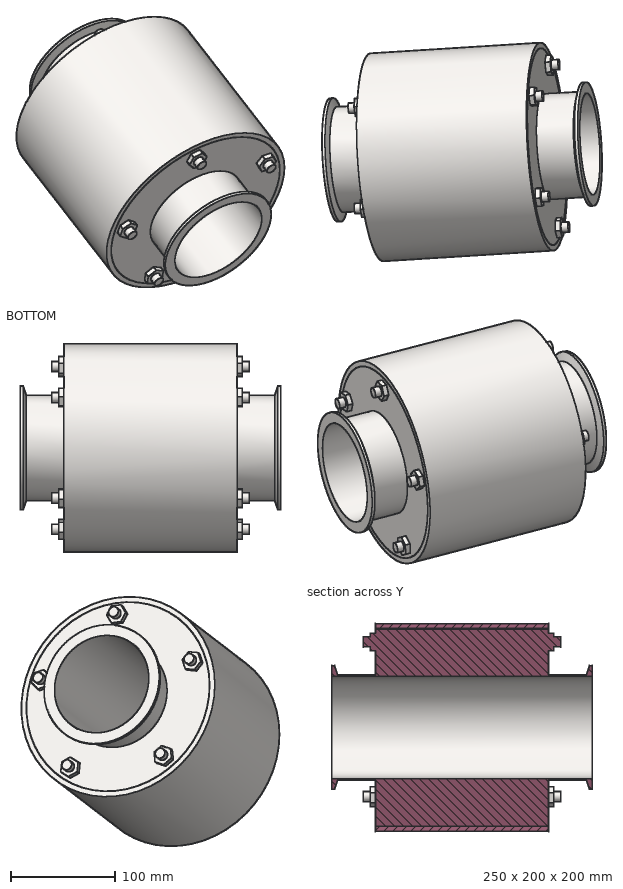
import cadquery as cq
import math

total_length = 250.0
jacket_length = 166.0
jacket_diameter = 200.0
jacket_bore = 189.5

drum_diameter = 189.0
pipe_diameter = 101.5
pipe_bore = 97.5

ferrule_diameter = 119.0
ferrule_rim_width = 3.0
ferrule_cone_width = 3.0

stud_count = 5
stud_circle_radius = 82.0
stud_diameter = 10.0
stud_projection = 11.8
nut_across_flats = 17.0
nut_across_corners = nut_across_flats / math.cos(math.pi / 6)
nut_thickness = 5.0


def make_jacket():
    """Plain tube around the drum, centred on the origin along X."""
    return (
        cq.Workplane("YZ", origin=(-jacket_length / 2, 0, 0))
        .circle(jacket_diameter / 2)
        .circle(jacket_bore / 2)
        .extrude(jacket_length)
    )


def make_drum_and_pipe():
    """Turned shape: drum, pipe ends and conical clamp ferrules, bored through."""
    end_x = total_length / 2
    rim_x = end_x - ferrule_rim_width
    cone_x = rim_x - ferrule_cone_width
    face_x = jacket_length / 2
    right_half = (
        cq.Workplane("XY")
        .moveTo(0, pipe_bore / 2)
        .lineTo(end_x, pipe_bore / 2)
        .lineTo(end_x, ferrule_diameter / 2)
        .lineTo(rim_x, ferrule_diameter / 2)
        .lineTo(cone_x, pipe_diameter / 2)
        .lineTo(face_x, pipe_diameter / 2)
        .lineTo(face_x, drum_diameter / 2)
        .lineTo(0, drum_diameter / 2)
        .close()
        .revolve(360, (0, 0, 0), (1, 0, 0))
    )
    return right_half.union(right_half.mirror("YZ"))


def make_stud_with_nut(angle):
    """Stud and nut on the +X drum face, turned about X from the top position."""
    face = cq.Workplane("YZ", origin=(jacket_length / 2, 0, 0)).center(0, stud_circle_radius)
    nut = face.polygon(6, nut_across_corners).extrude(nut_thickness)
    stud = face.circle(stud_diameter / 2).extrude(stud_projection)
    return nut.union(stud).rotate((0, 0, 0), (1, 0, 0), angle)


def make_core():
    """Drum and pipe with a ring of studs and nuts on each face."""
    core = make_drum_and_pipe()
    for index in range(stud_count):
        fastener = make_stud_with_nut(index * 360 / stud_count)
        core = core.union(fastener).union(fastener.mirror("YZ"))
    return core


jacket = make_jacket()
core = make_core()

result = cq.Compound.makeCompound([jacket.val(), core.val()])